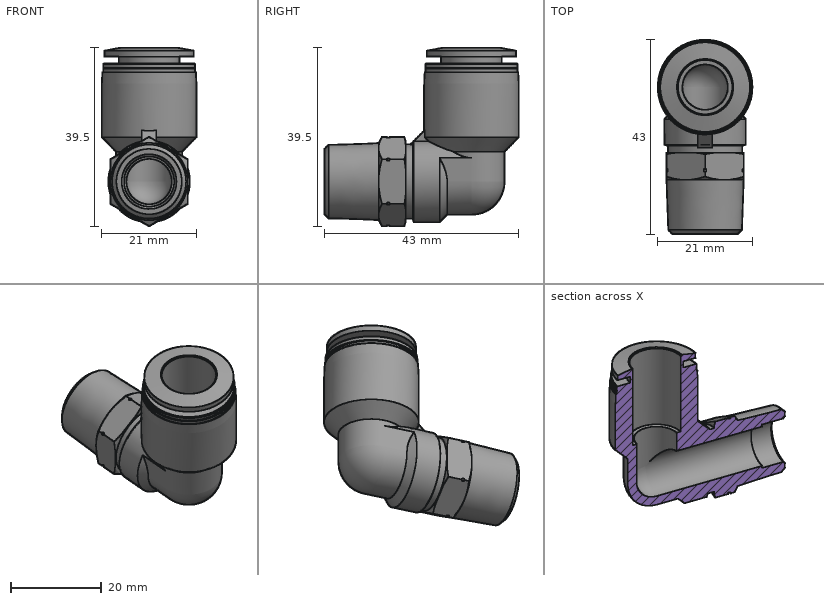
import cadquery as cq
import math


collar_top = 29.63
collar_rim = 28.95
collar_bottom = 27.6
collar_radius = 19.8 / 2
collar_neck_radius = 13.5 / 2
barrel_top = 26.15
barrel_edge_chamfer = 0.2
seam_top = 25.1
seam_width = 0.17
seam_depth = 0.15
cap_bottom = 24.2
cap_radius = 20.4 / 2
barrel_taper_top_radius = 10.35
barrel_taper_bottom = 21.67
barrel_radius = 21.0 / 2
barrel_bottom = 9.85
barrel_cone_bottom = 6.62

elbow_radius = 7.35
shoulder_radius = 9.05
shoulder_start = 7.05
shoulder_end = 13.0
shoulder_bevel = 0.25
neck_radius = 16.5 / 2

rib_width = 3.15
rib_tip = 13.45
rib_root = elbow_radius

hex_start = 14.55
hex_end = 20.5
hex_flats = 17.1
hex_corner_radius = hex_flats / math.sqrt(3)
hex_back_chamfer = 0.3
hex_back_radius = 8.95
hex_front_chamfer = 0.75
mark_position = 18.4
mark_radius = 0.35

outlet_end = 43 - barrel_radius
thread_start_radius = 8.55
thread_end_radius = 8.15
thread_chamfer = 0.95
thread_face_radius = 7.22

passage_radius = 10.0 / 2
socket_radius = 12.0 / 2
socket_bottom = barrel_bottom
socket_mouth_radius = 6.25
socket_mouth_chamfer = 0.25
outlet_bore_radius = 11.1 / 2
outlet_bore_start = 26.65
outlet_mouth_radius = 6.05
outlet_mouth_chamfer = outlet_mouth_radius - outlet_bore_radius


def turned_inlet(profile):
    """Revolve (radius, height) points about Z, closing along the axis."""
    points = [(0, profile[0][1])] + profile + [(0, profile[-1][1])]
    return cq.Workplane("XZ").polyline(points).close().revolve(360, (0, 0, 0), (0, 1, 0))


def turned_outlet(profile):
    """Revolve (radius, distance along the outlet) points about Y."""
    points = [(radius, -distance) for radius, distance in profile]
    points = [(0, points[0][1])] + points + [(0, points[-1][1])]
    return cq.Workplane("XY").polyline(points).close().revolve(360, (0, 0, 0), (0, 1, 0))


def make_barrel():
    return turned_inlet([
        (elbow_radius, 0),
        (elbow_radius, barrel_cone_bottom),
        (barrel_radius, barrel_bottom),
        (barrel_radius, barrel_taper_bottom),
        (barrel_taper_top_radius, cap_bottom),
        (cap_radius, cap_bottom),
        (cap_radius, seam_top - seam_width),
        (cap_radius - seam_depth, seam_top - seam_width),
        (cap_radius - seam_depth, seam_top),
        (cap_radius, seam_top),
        (cap_radius, barrel_top - barrel_edge_chamfer),
        (cap_radius - barrel_edge_chamfer, barrel_top),
        (collar_neck_radius, barrel_top),
        (collar_neck_radius, collar_bottom),
        (collar_radius, collar_bottom),
        (collar_radius, collar_rim),
        (socket_mouth_radius, collar_top),
    ])


def make_elbow():
    """Spherical corner, stepped shoulder and the flat cheeks that join it to the barrel."""
    ball = cq.Workplane("XY").sphere(elbow_radius)
    shoulder = turned_outlet([
        (elbow_radius, 0),
        (elbow_radius, shoulder_start - (shoulder_radius - elbow_radius)),
        (shoulder_radius, shoulder_start),
        (shoulder_radius, shoulder_end - shoulder_bevel),
        (neck_radius, shoulder_end),
        (neck_radius, hex_start),
    ])
    saddle = turned_outlet([(shoulder_radius, 0), (shoulder_radius, shoulder_start)])
    cheeks = cq.Workplane("XY").box(
        2 * elbow_radius, shoulder_start, shoulder_radius, centered=(True, False, False)
    ).translate((0, -shoulder_start, 0))
    return ball.union(shoulder).union(saddle.intersect(cheeks))


def make_rib():
    """Sloping index rib between the barrel and the neck."""
    rib_top = neck_radius + (rib_tip - rib_root)
    return (
        cq.Workplane("YZ")
        .polyline([
            (-rib_root, rib_root),
            (-rib_root, rib_top),
            (-rib_tip, neck_radius),
            (-rib_tip, rib_root),
        ])
        .close()
        .extrude(rib_width / 2, both=True)
    )


def make_hexagon():
    """Hexagon with corners up and down, turned at both ends and marked on each edge."""
    prism = (
        cq.Workplane("XZ", origin=(0, -hex_start, 0))
        .transformed(rotate=(0, 0, 90))
        .polygon(6, 2 * hex_corner_radius)
        .extrude(hex_end - hex_start)
    )
    envelope = turned_outlet([
        (hex_back_radius, hex_start),
        (hex_corner_radius, hex_start + hex_back_chamfer),
        (hex_corner_radius, hex_end - hex_front_chamfer),
        (thread_start_radius, hex_end),
    ])
    hexagon = prism.intersect(envelope)
    for corner in range(6):
        angle = math.radians(30 + 60 * corner)
        mark = cq.Workplane("XY").sphere(mark_radius).translate((
            hex_corner_radius * math.cos(angle),
            -mark_position,
            hex_corner_radius * math.sin(angle),
        ))
        hexagon = hexagon.cut(mark)
    return hexagon


def make_thread():
    return turned_outlet([
        (thread_start_radius, hex_end),
        (thread_end_radius, outlet_end - thread_chamfer),
        (thread_face_radius, outlet_end),
    ])


def make_bores():
    """Connected passage, with a tube socket above and a wider bore in the outlet."""
    corner = cq.Workplane("XY").sphere(passage_radius)
    inlet = turned_inlet([
        (passage_radius, 0),
        (passage_radius, socket_bottom),
        (socket_radius, socket_bottom),
        (socket_radius, collar_top - socket_mouth_chamfer),
        (socket_mouth_radius, collar_top),
    ])
    outlet = turned_outlet([
        (passage_radius, 0),
        (passage_radius, outlet_bore_start),
        (outlet_bore_radius, outlet_bore_start),
        (outlet_bore_radius, outlet_end - outlet_mouth_chamfer),
        (outlet_mouth_radius, outlet_end),
    ])
    return corner.union(inlet).union(outlet)


body = make_barrel().union(make_elbow()).union(make_rib())
body = body.union(make_hexagon()).union(make_thread())
result = body.cut(make_bores())